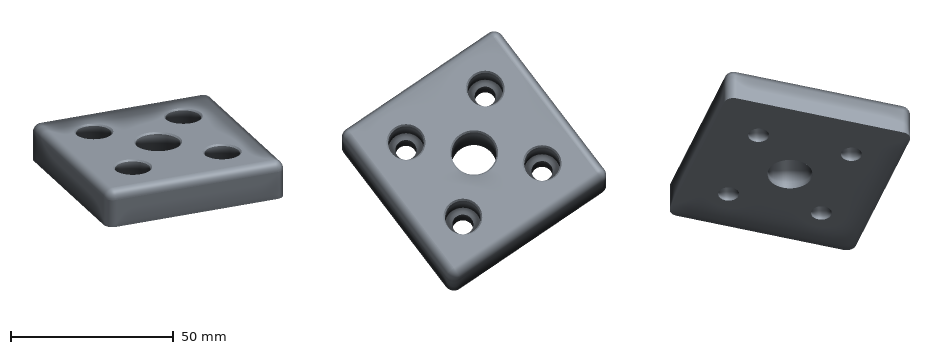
import cadquery as cq

side = 60.0
thickness = 12.0
edge_radius = 3.0

screw_spacing = side / 2
screw_diameter = 6.5
counterbore_diameter = 11.0
counterbore_depth = 6.8

center_diameter = 13.85

mouth_chamfer = 0.5


def rounded_plate():
    """Square plate on Z = 0 with rounded corners and a rounded top edge."""
    plate = cq.Workplane("XY").box(side, side, thickness, centered=(True, True, False))
    plate = plate.edges("|Z").fillet(edge_radius)
    return plate.faces(">Z").edges().fillet(edge_radius)


def cut_screw_holes(body):
    """Cut the four counterbored holes down from the top face."""
    return (
        body.faces(">Z").workplane(origin=(0, 0, thickness))
        .rect(screw_spacing, screw_spacing, forConstruction=True)
        .vertices()
        .cboreHole(screw_diameter, counterbore_diameter, counterbore_depth)
    )


def cut_center_hole(body):
    """Cut the plain hole through the middle of the plate."""
    return body.faces(">Z").workplane(origin=(0, 0, thickness)).hole(center_diameter)


def chamfer_hole_mouths(body):
    """Bevel the circular rims on the top face."""
    return body.faces(">Z").edges("%CIRCLE").chamfer(mouth_chamfer)


plate = rounded_plate()
plate = cut_screw_holes(plate)
plate = cut_center_hole(plate)
result = chamfer_hole_mouths(plate)